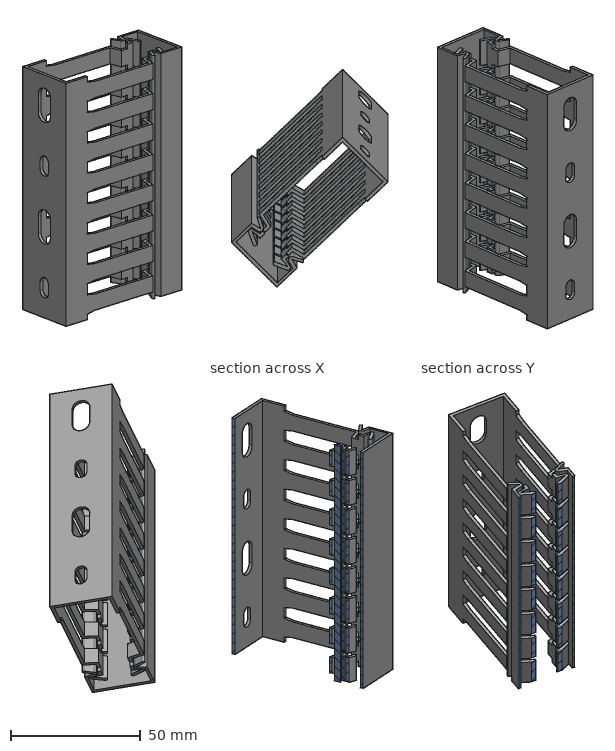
import cadquery as cq

width = 25.0
depth = 60.0
length = 100.0
half_width = width / 2

flank_slope = 0.25

duct_wall = 1.4
finger_corner_y = 45.0
channel_inset = 5.3
channel_bottom_y = finger_corner_y + flank_slope * channel_inset
channel_top_y = 49.9
web_inset = channel_inset + duct_wall
web_top_y = 51.2
inner_corner_y = finger_corner_y - duct_wall

barb_slope = 0.46
barb_heel_inset = -0.8
barb_heel_y = channel_top_y + flank_slope * (channel_inset - barb_heel_inset)
barb_heel_radius = 1.1
barb_tip_inset = 7.8
barb_tip_low_y = 53.7
barb_tip_high_y = barb_heel_y + barb_slope * (barb_tip_inset - barb_heel_inset)
barb_notch_inset = 2.7
barb_notch_y = 51.5
barb_root_inset = 4.4
barb_tip_radius = 0.9

finger_count = 8
finger_pitch = length / finger_count
gap_width = 5.8
gap_end_width = 4.5
gap_end_y = 11.2
gap_taper_y = 15.0
gap_step_y = 48.4
barb_gap_width = 2.0

slot_pitch = length / 4
large_slot_length = 14.0
large_slot_width = 7.0
small_slot_length = 8.2
small_slot_width = 4.8

cover_side_wall = 1.1
cover_top_wall = 1.4
cover_inner_corner_y = 50.3
cover_outer_corner_y = 49.1
cover_notch_inset = 3.9
cover_notch_y = cover_outer_corner_y - flank_slope * cover_notch_inset
cover_nose_inset = 7.6
cover_nose_y = cover_inner_corner_y - flank_slope * (cover_nose_inset - cover_side_wall)
cover_nose_radius = 1.4
cover_lip_high_y = 46.1
cover_lip_low_y = 44.8
cover_lip_radius = 0.6


def half_profile(points):
    """Extrude one half outline, given as (inset, y) points, along the whole length."""
    outline = [(inset - half_width, y) for inset, y in points]
    return cq.Workplane("XY").polyline(outline).close().extrude(length)


def round_corner(half, inset, y, radius):
    """Round the lengthwise edge of a half profile that stands at (inset, y)."""
    edge_middle = (inset - half_width, y, length / 2)
    return half.edges(cq.selectors.NearestToPointSelector(edge_middle)).fillet(radius)


def join_halves(half):
    return half.union(half.mirror("YZ"))


def make_duct_profile():
    """Duct with its snap channels and barbs, before any opening is cut."""
    half = half_profile([
        (half_width, 0),
        (0, 0),
        (0, finger_corner_y),
        (channel_inset, channel_bottom_y),
        (channel_inset, channel_top_y),
        (barb_heel_inset, barb_heel_y),
        (barb_tip_inset, barb_tip_high_y),
        (barb_tip_inset, barb_tip_low_y),
        (barb_notch_inset, barb_notch_y),
        (barb_root_inset, web_top_y),
        (web_inset, web_top_y),
        (web_inset, inner_corner_y + flank_slope * web_inset),
        (duct_wall, inner_corner_y + flank_slope * duct_wall),
        (duct_wall, duct_wall),
        (half_width, duct_wall),
    ])
    half = round_corner(half, barb_heel_inset, barb_heel_y, barb_heel_radius)
    half = round_corner(half, barb_tip_inset, barb_tip_high_y, barb_tip_radius)
    return join_halves(half)


def finger_gap(z):
    """Cutter for the gap centred at height z, crossing both sides of the duct."""
    half_outline = [
        (gap_end_y, gap_end_width / 2),
        (gap_taper_y, gap_width / 2),
        (gap_step_y, gap_width / 2),
        (gap_step_y, barb_gap_width / 2),
        (depth, barb_gap_width / 2),
    ]
    upper = [(y, z + half) for y, half in half_outline]
    lower = [(y, z - half) for y, half in reversed(half_outline)]
    return cq.Workplane("YZ").polyline(upper + lower).close().extrude(half_width, both=True)


def mounting_slot(z, slot_length, slot_width):
    """Cutter for a slot through the duct floor, long along Z."""
    return (
        cq.Workplane("XZ", origin=(0, 0, z))
        .slot2D(slot_length, slot_width, 90)
        .extrude(duct_wall, both=True)
    )


def make_duct():
    duct = make_duct_profile()
    for index in range(finger_count + 1):
        duct = duct.cut(finger_gap(index * finger_pitch))
    for pair_base in (0, 2 * slot_pitch):
        small_z = pair_base + slot_pitch / 2
        large_z = small_z + slot_pitch
        duct = duct.cut(mounting_slot(small_z, small_slot_length, small_slot_width))
        duct = duct.cut(mounting_slot(large_z, large_slot_length, large_slot_width))
    return duct


def make_cover():
    """Cover whose folded sides snap into the channels of the fingers."""
    half = half_profile([
        (half_width, depth),
        (0, depth),
        (0, cover_outer_corner_y),
        (cover_notch_inset, cover_notch_y),
        (0, cover_lip_high_y),
        (0, cover_lip_low_y),
        (cover_nose_inset, cover_nose_y),
        (cover_side_wall, cover_inner_corner_y),
        (cover_side_wall, depth - cover_top_wall),
        (half_width, depth - cover_top_wall),
    ])
    half = round_corner(half, cover_nose_inset, cover_nose_y, cover_nose_radius)
    half = round_corner(half, 0, cover_lip_low_y, cover_lip_radius)
    return join_halves(half)


duct = make_duct()
cover = make_cover()
result = cq.Compound.makeCompound([duct.solids().val(), cover.solids().val()])